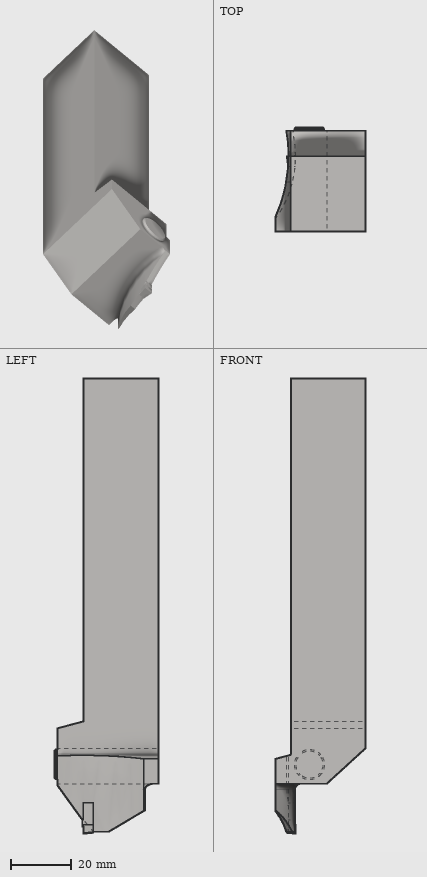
import cadquery as cq
import math


shank_depth = 25.0
shank_left = 0.2
head_right = 25.0
total_height = 151.35
head_left = -4.92
head_back = 33.61
head_bottom = 16.6
shoulder_angle = 15.0
side_shoulder_top = 26.3
back_shoulder_top = 37.4
shoulder_fillet = 0.5
heel_x = 12.1
heel_top = 28.4

shoulder_slope = math.tan(math.radians(shoulder_angle))
side_shoulder_low = side_shoulder_top - (shank_left - head_left) * shoulder_slope
back_shoulder_low = back_shoulder_top - (head_back - shank_depth) * shoulder_slope

screw_diameter = 10.0
screw_height = 1.0
screw_chamfer = 0.5
screw_x = 6.3
screw_z = 23.1

cutting_height = shank_depth
blade_inner_x = -0.6
blade_outer_x = 1.65
inner_start_y = 5.0
outer_start_y = 4.4
blade_fillet = 1.7
blade_bottom = 0.65
front_corner_z = 7.9
bottom_start_y = 16.6
back_corner_z = 16.1
jaw_tip_z = 4.7

insert_height = 3.3
insert_length = 10.3
insert_body_width = 2.2
insert_head_width = 3.1
insert_head_length = 3.0
insert_center_x = 0.35
lead_angle = 6.0
front_clearance_angle = 5.0
chip_bump_height = 0.4
chip_bump_bottom = 2.4

insert_under = cutting_height - insert_height


def arc_radius(start_y, peak_x):
    """Radius of the arc from the flat -X face to its peak at the cutting height."""
    half_chord = cutting_height - start_y
    rise = peak_x - head_left
    return (half_chord**2 + rise**2) / (2 * rise)


def cylinder_behind(peak_x, radius, bottom, top):
    """Upright cylinder whose furthest +X point is peak_x at the cutting height."""
    return (
        cq.Workplane("XY", origin=(peak_x - radius, cutting_height, bottom))
        .circle(radius)
        .extrude(top - bottom)
    )


def make_upper_body():
    """Shank and head, with both shoulders and the sloped heel."""
    front_outline = (
        cq.Workplane("XZ")
        .moveTo(shank_left, total_height)
        .lineTo(head_right, total_height)
        .lineTo(head_right, heel_top)
        .lineTo(heel_x, head_bottom)
        .lineTo(head_left, head_bottom)
        .lineTo(head_left, side_shoulder_low)
        .lineTo(shank_left, side_shoulder_top)
        .close()
        .extrude(-head_back)
    )
    side_outline = (
        cq.Workplane("YZ", origin=(head_left, 0, 0))
        .moveTo(0, head_bottom)
        .lineTo(head_back, head_bottom)
        .lineTo(head_back, back_shoulder_low)
        .lineTo(shank_depth, back_shoulder_top)
        .lineTo(shank_depth, total_height)
        .lineTo(0, total_height)
        .close()
        .extrude(head_right - head_left)
    )
    shoulder_corner = cq.selectors.NearestToPointSelector((shank_left, head_back / 2, side_shoulder_top))
    return front_outline.edges(shoulder_corner).fillet(shoulder_fillet).intersect(side_outline)


def make_blade_blank():
    """Convex outer side of the blade, rounded into the underside of the head."""
    radius = arc_radius(outer_start_y, blade_outer_x)
    center_x = blade_outer_x - radius
    column = cylinder_behind(blade_outer_x, radius, 0, head_bottom)
    root_ring = cq.Workplane("XZ", origin=(center_x, cutting_height, 0)).moveTo(radius, head_bottom)
    root_ring = (
        root_ring.lineTo(radius + blade_fillet, head_bottom)
        .radiusArc((radius, head_bottom - blade_fillet), -blade_fillet)
        .close()
        .revolve(360, (0, 0, 0), (0, 1, 0))
    )
    envelope = (
        cq.Workplane("XY", origin=(head_left, 0, 0))
        .rect(head_right - head_left, head_back, centered=False)
        .extrude(head_bottom)
    )
    return column.union(root_ring).intersect(envelope)


def make_blade_outline():
    """Side outline that trims the blade below the head."""
    return (
        cq.Workplane("YZ", origin=(head_left, 0, 0))
        .moveTo(0, head_bottom)
        .lineTo(0, head_bottom - blade_fillet)
        .lineTo(outer_start_y, front_corner_z)
        .lineTo(bottom_start_y, blade_bottom)
        .lineTo(insert_under, blade_bottom)
        .lineTo(cutting_height, jaw_tip_z)
        .lineTo(cutting_height + chip_bump_height, jaw_tip_z)
        .lineTo(head_back, back_corner_z)
        .lineTo(head_back, head_bottom)
        .close()
        .extrude(head_right - head_left)
    )


def make_screw_head():
    """Low chamfered disc on the +Y face of the head."""
    return (
        cq.Workplane("XZ", origin=(screw_x, head_back, screw_z))
        .circle(screw_diameter / 2)
        .extrude(-screw_height)
        .faces(">Y")
        .edges()
        .chamfer(screw_chamfer)
    )


def make_insert():
    """Cutting insert: narrow body, wider head, sloped end face and a chip-control bump."""
    body = cq.Workplane("XY").box(
        insert_body_width, insert_height, insert_length, centered=(True, False, False)
    ).translate((insert_center_x, insert_under, 0))
    head_half = insert_head_width / 2
    body_half = insert_body_width / 2
    head = (
        cq.Workplane("XY", origin=(insert_center_x, 0, 0))
        .moveTo(-head_half, cutting_height)
        .lineTo(head_half, cutting_height)
        .lineTo(body_half, insert_under)
        .lineTo(-body_half, insert_under)
        .close()
        .extrude(insert_head_length)
    )
    bump = cq.Workplane("XY").box(
        insert_body_width, chip_bump_height, jaw_tip_z - chip_bump_bottom, centered=(True, False, False)
    ).translate((insert_center_x, cutting_height, chip_bump_bottom))
    end_normal = (
        math.tan(math.radians(lead_angle)),
        math.tan(math.radians(front_clearance_angle)),
        1,
    )
    end_plane = cq.Plane(
        origin=(insert_center_x + head_half, cutting_height, 0), xDir=(0, 1, -end_normal[1]), normal=end_normal
    )
    below_end = cq.Workplane(end_plane).circle(insert_length).extrude(-insert_length)
    return body.union(head).cut(below_end).union(bump)


def make_holder(insert):
    """Shank, head, blade and screw head, with a seat cut to fit the insert."""
    inner_radius = arc_radius(inner_start_y, blade_inner_x)
    inner_relief = cylinder_behind(blade_inner_x, inner_radius, 0, side_shoulder_top)
    blade = make_blade_blank().intersect(make_blade_outline())
    holder = make_upper_body().union(blade).cut(inner_relief)
    return holder.union(make_screw_head()).cut(insert)


insert = make_insert()
holder = make_holder(insert)

result = cq.Compound.makeCompound([*holder.solids().vals(), *insert.solids().vals()])